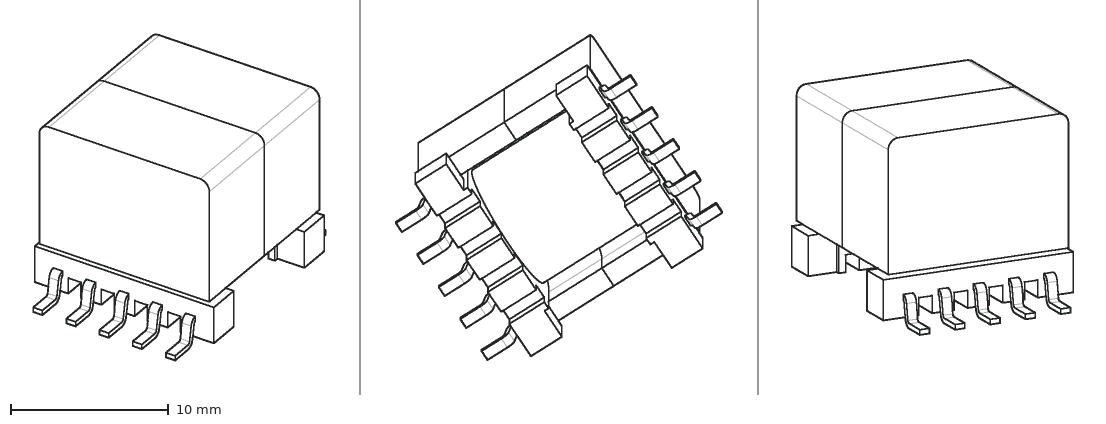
import cadquery as cq
import math


core_width = 12.8
core_pair_length = 13.0
core_bottom = 3.5
core_top = 12.5
core_edge_radius = 0.7
post_diameter = 4.5
cavity_diameter = 10.0
cavity_depth = 4.5

bore_diameter = 4.6
winding_diameter = 8.48
winding_bottom = 1.7
flange_width = 9.45
flange_inner_y = 3.85
flange_outer_y = 4.45
base_width = 13.5
base_inner_y = 4.15
base_bottom = 0.5
base_top = 3.2

lead_count = 5
lead_pitch = 2.5
lead_width = 0.7
lead_thickness = 0.35
lead_top = 2.05
lead_span = 17.75
lead_inner_radius = 0.2
lead_bend_embed = 0.06
leg_tilt = math.radians(10)
notch_width = 0.95
notch_top = 1.67

axis_z = winding_bottom + winding_diameter / 2
core_half_length = core_pair_length / 2
base_outer_y = core_half_length
lead_tip_y = lead_span / 2
lead_outer_radius = lead_inner_radius + lead_thickness
lead_xs = [(i - (lead_count - 1) / 2) * lead_pitch for i in range(lead_count)]
notch_xs = [(a + b) / 2 for a, b in zip(lead_xs, lead_xs[1:])]


def block(width, y_start, y_end, z_start, z_end, x_center=0):
    """Box centred on x_center in X, between two Y and two Z positions."""
    return cq.Workplane("XY").box(
        width, y_end - y_start, z_end - z_start, centered=(True, False, False)
    ).translate((x_center, y_start, z_start))


def cylinder(diameter, y_start, y_end):
    """Cylinder along Y on the winding axis."""
    return (
        cq.Workplane("XZ", origin=(0, y_start, axis_z))
        .circle(diameter / 2)
        .extrude(y_start - y_end)
    )


def rounded_slab(width, y_start, y_end, z_bottom):
    """Straight-sided slab ending in a half round about the winding axis."""
    slab = block(width, y_start, y_end, z_bottom, axis_z)
    return slab.union(cylinder(width, y_start, y_end))


def mirror_across_y(body):
    return body.mirror("XZ")


def make_core_half():
    """Half on the +Y side: cavity open at the mating face and bottom, around a round post."""
    shell = block(core_width, 0, core_half_length, core_bottom, core_top)
    shell = shell.edges("|Y and >Z").fillet(core_edge_radius)
    cavity = rounded_slab(cavity_diameter, 0, cavity_depth, core_bottom)
    post = cylinder(post_diameter, 0, cavity_depth)
    return shell.cut(cavity).union(post)


def make_lead(x_center):
    """Gull-wing lead on the +Y side: rounded shoulder, tilted leg and flat foot."""
    sin_tilt, cos_tilt = math.sin(leg_tilt), math.cos(leg_tilt)
    half_bend = (math.pi / 2 - leg_tilt) / 2
    half_sin, half_cos = math.sin(half_bend), math.cos(half_bend)

    upper_y = base_outer_y - lead_bend_embed
    upper_z = lead_top - lead_outer_radius
    lower_z = lead_outer_radius
    leg_drop = upper_z - lower_z
    radius_sum = lead_inner_radius + lead_outer_radius
    lower_y = upper_y + (radius_sum + leg_drop * sin_tilt) / cos_tilt

    def upper_bend(radius):
        middle = (upper_y + radius * half_sin, upper_z + radius * half_cos)
        end = (upper_y + radius * cos_tilt, upper_z + radius * sin_tilt)
        return middle, end

    def lower_bend(radius):
        middle = (lower_y - radius * half_sin, lower_z - radius * half_cos)
        end = (lower_y - radius * cos_tilt, lower_z - radius * sin_tilt)
        return middle, end

    outer_shoulder, leg_front_top = upper_bend(lead_outer_radius)
    inner_shoulder, leg_back_top = upper_bend(lead_inner_radius)
    inner_heel, leg_front_bottom = lower_bend(lead_inner_radius)
    outer_heel, leg_back_bottom = lower_bend(lead_outer_radius)

    return (
        cq.Workplane("YZ", origin=(x_center, 0, 0))
        .moveTo(upper_y, lead_top)
        .threePointArc(outer_shoulder, leg_front_top)
        .lineTo(*leg_front_bottom)
        .threePointArc(inner_heel, (lower_y, lead_thickness))
        .lineTo(lead_tip_y, lead_thickness)
        .lineTo(lead_tip_y, 0)
        .lineTo(lower_y, 0)
        .threePointArc(outer_heel, leg_back_bottom)
        .lineTo(*leg_back_top)
        .threePointArc(inner_shoulder, (upper_y, lead_top - lead_thickness))
        .close()
        .extrude(lead_width / 2, both=True)
    )


def make_bobbin_side():
    """Flange, notched base bar and leads on the +Y side."""
    side = rounded_slab(flange_width, flange_inner_y, flange_outer_y, base_bottom)
    side = side.union(block(base_width, base_inner_y, base_outer_y, base_bottom, base_top))
    for x in notch_xs:
        side = side.cut(block(notch_width, flange_inner_y, base_outer_y, base_bottom, notch_top, x))
    for x in lead_xs:
        side = side.union(make_lead(x))
    return side


def make_bobbin():
    """Wound barrel between the two sides, bored through for the core posts."""
    side = make_bobbin_side()
    bobbin = cylinder(winding_diameter, -flange_inner_y, flange_inner_y)
    bobbin = bobbin.union(side).union(mirror_across_y(side))
    return bobbin.cut(cylinder(bore_diameter, -flange_outer_y, flange_outer_y))


back_core = make_core_half()
front_core = mirror_across_y(back_core)
bobbin = make_bobbin()

result = cq.Compound.makeCompound([back_core.val(), front_core.val(), bobbin.val()])